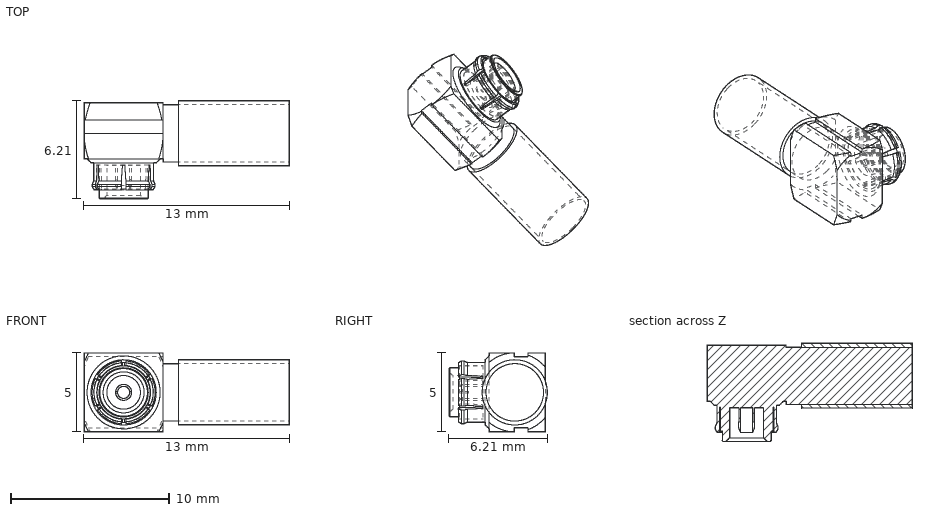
import cadquery as cq
import math


BLOCK_SIZE = 5.0
BLOCK_BACK = 1.93
BLOCK_FRONT = -1.62
CORNER_CHAMFER_ANGLE = 30.0
GROOVE_WIDTH = 0.86
GROOVE_BACK = 0.83
GROOVE_DEPTH = 0.25

TOTAL_LENGTH = 12.98
CABLE_END = TOTAL_LENGTH - BLOCK_SIZE / 2
NECK_DIAMETER = 3.63
NECK_LENGTH = 0.96
FERRULE_DIAMETER = 4.13
FERRULE_START = BLOCK_SIZE / 2 + NECK_LENGTH

PLUG_END = -4.15
FLANGE_DIAMETER = 4.62
FLANGE_END_DIAMETER = 4.13
FLANGE_CHAMFER = (FLANGE_DIAMETER - FLANGE_END_DIAMETER) / 2
FLANGE_END = BLOCK_FRONT - FLANGE_CHAMFER
SHELL_DIAMETER = 3.79
SHELL_BORE = 3.4
SHELL_END = -3.57
SHELL_END_DIAMETER = 3.74
RIDGE_DIAMETER = 3.98
RIDGE_START = -3.0
RIDGE_TOP_START = -3.22
RIDGE_TOP_END = -3.37
NOSE_DIAMETER = 3.12
NOSE_BASE_DIAMETER = 3.35
NOSE_STEP = -3.5
NOSE_CHAMFER = 0.05

SLOT_COUNT = 6
SLOT_START = -2.0
SLOT_NARROW_WIDTH = 0.14
SLOT_WIDE_WIDTH = 0.29
SLOT_TAPER_END = RIDGE_START

SOCKET_DIAMETER = 2.13
SOCKET_MOUTH_DIAMETER = 2.6
SOCKET_MOUTH_DEPTH = (SOCKET_MOUTH_DIAMETER - SOCKET_DIAMETER) / 2
SOCKET_FLOOR = -2.02
CONTACT_DIAMETER = 1.01
CONTACT_BORE = 0.77
CONTACT_END = -3.57
CONTACT_TAPER_LENGTH = 0.26
CONTACT_SLIT_WIDTH = 0.1
CONTACT_SLIT_LENGTH = 0.65


def revolve_about_plug_axis(points):
    """Revolve an outline of (radius, y) points about the plug axis."""
    return cq.Workplane("XY").polyline(points).close().revolve(360, (0, 0, 0), (0, 1, 0))


def cylinder_along_cable(diameter, start, end):
    return cq.Workplane("YZ").workplane(offset=start).circle(diameter / 2).extrude(end - start)


def box_between(x_range, y_range, z_range):
    lengths = [high - low for low, high in (x_range, y_range, z_range)]
    corner = (x_range[0], y_range[0], z_range[0])
    return cq.Workplane("XY").box(*lengths, centered=False).translate(corner)


def make_block():
    half = BLOCK_SIZE / 2
    block = box_between((-half, half), (BLOCK_FRONT, BLOCK_BACK), (-half, half))

    corner_radius = math.hypot(half, max(BLOCK_BACK, -BLOCK_FRONT))
    cone_length = (corner_radius - half) * math.tan(math.radians(CORNER_CHAMFER_ANGLE))
    turned_outline = [
        (-half, 0),
        (-half, half),
        (-half + cone_length, corner_radius),
        (half - cone_length, corner_radius),
        (half, half),
        (half, 0),
    ]
    turned = cq.Workplane("XY").polyline(turned_outline).close().revolve(360, (0, 0, 0), (1, 0, 0))
    block = block.intersect(turned)

    groove_y = (GROOVE_BACK - GROOVE_WIDTH, GROOVE_BACK)
    floor = half - GROOVE_DEPTH
    for z_range in ((floor, half), (-half, -floor)):
        block = block.cut(box_between((-half, half), groove_y, z_range))
    return block


def make_slot_cutter():
    """Tapered slots through the shell wall, down to the shell bore."""
    slot_outline = [
        (-SLOT_NARROW_WIDTH / 2, SLOT_START),
        (SLOT_NARROW_WIDTH / 2, SLOT_START),
        (SLOT_WIDE_WIDTH / 2, SLOT_TAPER_END),
        (SLOT_WIDE_WIDTH / 2, SHELL_END),
        (-SLOT_WIDE_WIDTH / 2, SHELL_END),
        (-SLOT_WIDE_WIDTH / 2, SLOT_TAPER_END),
    ]
    cutter = cq.Workplane("XY")
    for index in range(SLOT_COUNT):
        slot = cq.Workplane("XY").polyline(slot_outline).close().extrude(RIDGE_DIAMETER / 2)
        cutter = cutter.add(slot.rotate((0, 0, 0), (0, 1, 0), index * 360 / SLOT_COUNT))
    core = cq.Workplane("XZ").circle(SHELL_BORE / 2).extrude(-PLUG_END)
    return cutter.combine().cut(core)


def make_plug():
    nose_radius = NOSE_DIAMETER / 2
    plug = revolve_about_plug_axis([
        (0, BLOCK_FRONT),
        (FLANGE_DIAMETER / 2, BLOCK_FRONT),
        (FLANGE_END_DIAMETER / 2, FLANGE_END),
        (SHELL_DIAMETER / 2, FLANGE_END),
        (SHELL_DIAMETER / 2, RIDGE_START),
        (RIDGE_DIAMETER / 2, RIDGE_TOP_START),
        (RIDGE_DIAMETER / 2, RIDGE_TOP_END),
        (SHELL_END_DIAMETER / 2, SHELL_END),
        (SHELL_BORE / 2, SHELL_END),
        (SHELL_BORE / 2, SLOT_START),
        (NOSE_BASE_DIAMETER / 2, SLOT_START),
        (NOSE_BASE_DIAMETER / 2, NOSE_STEP),
        (nose_radius, NOSE_STEP),
        (nose_radius, PLUG_END + NOSE_CHAMFER),
        (nose_radius - NOSE_CHAMFER, PLUG_END),
        (0, PLUG_END),
    ])
    plug = plug.cut(make_slot_cutter())

    socket = revolve_about_plug_axis([
        (0, SOCKET_FLOOR),
        (SOCKET_DIAMETER / 2, SOCKET_FLOOR),
        (SOCKET_DIAMETER / 2, PLUG_END + SOCKET_MOUTH_DEPTH),
        (SOCKET_MOUTH_DIAMETER / 2, PLUG_END),
        (0, PLUG_END),
    ])
    return plug.cut(socket)


def make_contact():
    contact = revolve_about_plug_axis([
        (CONTACT_BORE / 2, SOCKET_FLOOR),
        (CONTACT_DIAMETER / 2, SOCKET_FLOOR),
        (CONTACT_DIAMETER / 2, CONTACT_END + CONTACT_TAPER_LENGTH),
        (CONTACT_BORE / 2, CONTACT_END),
    ])
    half_width = CONTACT_SLIT_WIDTH / 2
    slit = box_between(
        (-CONTACT_DIAMETER / 2, CONTACT_DIAMETER / 2),
        (CONTACT_END, CONTACT_END + CONTACT_SLIT_LENGTH),
        (-half_width, half_width),
    )
    return contact.cut(slit)


def make_housing():
    neck = cylinder_along_cable(NECK_DIAMETER, BLOCK_SIZE / 2, CABLE_END)
    return make_block().union(make_plug()).union(make_contact()).union(neck)


def make_ferrule():
    sleeve = cylinder_along_cable(FERRULE_DIAMETER, FERRULE_START, CABLE_END)
    return sleeve.cut(cylinder_along_cable(NECK_DIAMETER, FERRULE_START, CABLE_END))


housing = make_housing()
ferrule = make_ferrule()
result = cq.Compound.makeCompound([housing.val(), ferrule.val()])